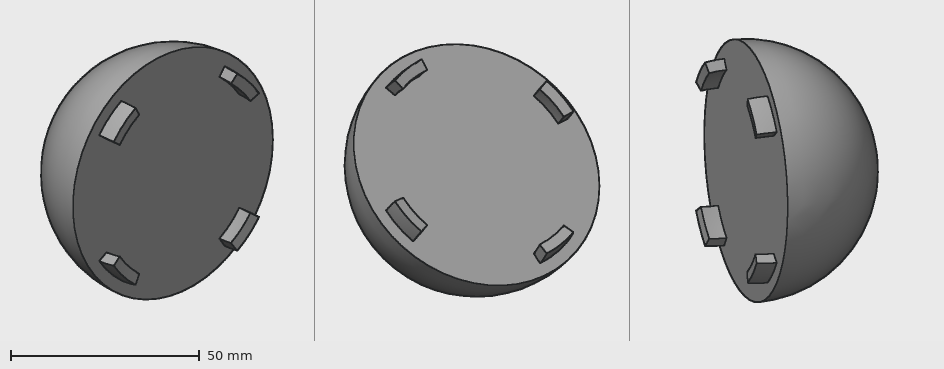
import cadquery as cq
import math

dome_radius = 35.0
lug_outer_radius = 31.5
lug_inner_radius = 28.35
lug_rise_angle = 10.0
lug_span_angle = 20.0
lug_count = 4
first_lug_angle = 45.0


def arc_point(radius, angle):
    """Point in the XY plane, angle measured from +Y toward +X."""
    radians = math.radians(angle)
    return (radius * math.sin(radians), radius * math.cos(radians))


def make_dome():
    """Solid hemisphere bulging toward -X, with its flat face at X = 0."""
    return (
        cq.Workplane("XY")
        .moveTo(-dome_radius, 0)
        .threePointArc(arc_point(dome_radius, -45), (0, dome_radius))
        .lineTo(0, 0)
        .close()
        .revolve(360, (0, 0), (1, 0))
    )


def make_lug(middle_angle):
    """Spherical-shell segment standing on the flat face, with a radial end."""
    half_rise = lug_rise_angle / 2
    lug = (
        cq.Workplane("XY")
        .moveTo(0, lug_inner_radius)
        .lineTo(0, lug_outer_radius)
        .threePointArc(
            arc_point(lug_outer_radius, half_rise),
            arc_point(lug_outer_radius, lug_rise_angle),
        )
        .lineTo(*arc_point(lug_inner_radius, lug_rise_angle))
        .threePointArc(arc_point(lug_inner_radius, half_rise), (0, lug_inner_radius))
        .close()
        .revolve(lug_span_angle, (0, 0), (1, 0))
    )
    return lug.rotate((0, 0, 0), (1, 0, 0), middle_angle - lug_span_angle / 2)


result = make_dome()
for index in range(lug_count):
    result = result.union(make_lug(first_lug_angle + index * 360 / lug_count))